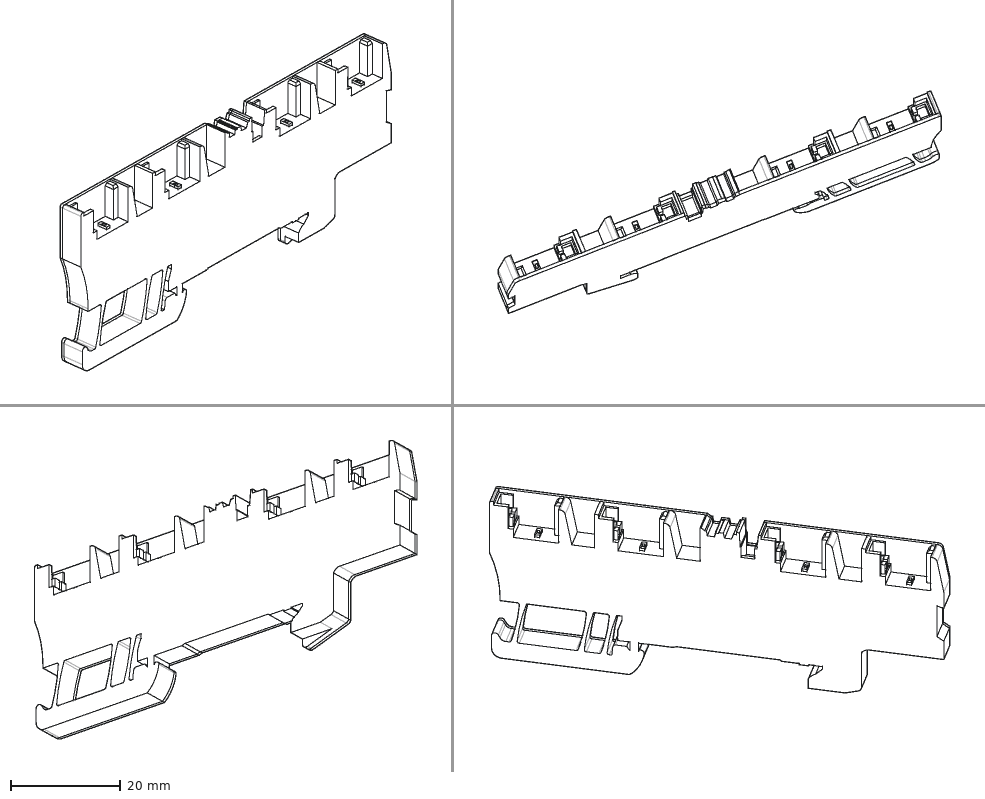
import cadquery as cq

THICKNESS = 5.1
LENGTH = 85.4
HEIGHT = 34.05
Y_BACK = LENGTH / 2
Y_FRONT = -LENGTH / 2

COVER_THICKNESS = 0.64

SIDE_NOTCH_Y = 41.4
SIDE_NOTCH_TOP = 23.6
SIDE_NOTCH_TOP_LIP = 23.25
SIDE_NOTCH_BOTTOM = 16.9
SIDE_NOTCH_BOTTOM_LIP = 16.1
SHOULDER_UNDERSIDE = 12.05
FRONT_FOOT_Y = -40.7
FRONT_CURVE_TOP = 22.8
FRONT_CURVE_BOTTOM = 13.1
FRONT_CORNER_RADIUS = 0.5

BODY_UNDERSIDE = 7.15
MIDDLE_UNDERSIDE = 7.4
FOOT_SEAT = 5.3
FOOT_WEB_TOP = 3.8
LEG_ROOF = 12.55
LEG_TOP_BACKS = (-18.8, -23.1, -35.7)
LEG_TOP_WIDTH = 1.35
LEG_BOTTOM_WIDTH = 1.2
LEG_LEAN = 1.8
LEG_BOW = 0.27
LEG_FILLET = 0.4
POST_BACK = -14.7
POST_FRONT = -16.3
HOOK_TIP_Y = 17.2
HOOK_TIP_TOP = 4.0
WEDGE_BACK = 19.9
WEDGE_FRONT = 18.6
WEDGE_TOP = 6.6
RAIL_PAD_Y = (15.5, 17.3)
RAIL_PAD_BOTTOM = 6.9
HOOK_NOTCH_BACK = 20.6
HOOK_TRIM_X = 1.7
HOOK_TRIM_Z = 2.0
HOOK_BACK = 27.2

SLOT_BACK = 7.15
SLOT_FRONT = 4.6
SLOT_FLOOR = 28.75
SLOT_STEP = 31.0
LABEL_POCKET_X = (0.9, 4.4)
LABEL_POCKET_DEPTH = 2.0
GROOVE_FLOOR = 32.5
TOOTH_TOP = 33.55
TOOTH_STEP_Y = 0.4
TOOTH_STEP_FRONT = -0.2
TOOTH_STEP_DROP = 0.2
MIDDLE_BLOCK_FRONT = -3.1

STATION_PITCH = 19.7
BACK_PAIR_FACE = 40.2
FRONT_PAIR_FACE = -10.0
STATION_FACES = (
    BACK_PAIR_FACE,
    BACK_PAIR_FACE - STATION_PITCH,
    FRONT_PAIR_FACE,
    FRONT_PAIR_FACE - STATION_PITCH,
)
WELL_DEPTH = 7.3
WELL_FLOOR = HEIGHT - WELL_DEPTH
LEDGE_START = 8.5
BLOCK_START = 9.5
WALL_START = 12.2
WALL_END = 12.95
LEDGE_LEVEL = HEIGHT - 5.5
BLOCK_LEVEL = HEIGHT - 0.8

RIDGE_FOOT = Y_BACK - STATION_FACES[0]
RIDGE_CREST = 1.1
RIDGE_RADIUS = 1.0

STUB_WIDTH = 2.0
STUB_LENGTH = 1.3
STUB_TOP = HEIGHT - 0.4
STUB_CHAMFER = 0.45

PUSHER_X = (1.9, 4.05)
PUSHER_START = 3.8
PUSHER_LENGTH = 0.95
PUSHER_HOLE_DEPTH = 2.0
PUSHER_RISE = 0.5
PUSHER_SLOT_LENGTH = 0.8
PUSHER_SLOT_WIDTH = 0.45
PUSHER_SLOT_DEPTH = 0.4

SLEEVE_X = (1.1, 4.3)
SLEEVE_START = 8.75
SLEEVE_END = 11.75
SLEEVE_HEIGHT = 2.0
SLEEVE_WALL = 0.35
SLEEVE_BACK_WALL = 0.8
SLEEVE_GAP_X = (2.45, 3.1)


def box(x_range, y_range, z_range):
    """Axis-aligned box from three (low, high) pairs."""
    size = [high - low for low, high in (x_range, y_range, z_range)]
    low_corner = (x_range[0], y_range[0], z_range[0])
    return cq.Workplane("XY").box(*size, centered=False).translate(low_corner)


def side_plate(points, x_start, x_end):
    """Straight-sided outline in the YZ plane, extruded along X."""
    return cq.Workplane("YZ", origin=(x_start, 0, 0)).polyline(points).close().extrude(x_end - x_start)


def body_outline(x_start, x_end):
    """Main body with its fixed rail hook, label slot and grooves."""
    outline = (
        cq.Workplane("YZ", origin=(x_start, 0, 0))
        .moveTo(STATION_FACES[0], HEIGHT)
        .lineTo(STATION_FACES[0] + RIDGE_CREST, HEIGHT)
        .lineTo(Y_BACK, WELL_FLOOR)
        .lineTo(Y_BACK, SIDE_NOTCH_TOP_LIP)
        .lineTo(SIDE_NOTCH_Y, SIDE_NOTCH_TOP)
        .lineTo(SIDE_NOTCH_Y, SIDE_NOTCH_BOTTOM)
        .lineTo(Y_BACK, SIDE_NOTCH_BOTTOM_LIP)
        .lineTo(Y_BACK, SHOULDER_UNDERSIDE)
        .lineTo(28.6, SHOULDER_UNDERSIDE)
        .threePointArc((27.7, 11.75), (HOOK_BACK, 11.1))
        .lineTo(HOOK_BACK, 3.4)
        .threePointArc((27.0, 3.05), (26.6, 2.8))
        .lineTo(18.4, 0.15)
        .threePointArc((17.6, 0.25), (HOOK_TIP_Y, 0.9))
        .lineTo(HOOK_TIP_Y, HOOK_TIP_TOP)
        .threePointArc((17.7, 4.7), (WEDGE_FRONT, FOOT_SEAT))
        .lineTo(HOOK_NOTCH_BACK, FOOT_SEAT)
        .lineTo(HOOK_NOTCH_BACK, BODY_UNDERSIDE)
        .lineTo(12.2, BODY_UNDERSIDE)
        .lineTo(11.9, MIDDLE_UNDERSIDE)
        .lineTo(-7.5, MIDDLE_UNDERSIDE)
        .lineTo(-8.2, BODY_UNDERSIDE)
        .lineTo(-18.6, BODY_UNDERSIDE)
        .lineTo(-18.6, 9.3)
        .threePointArc((-18.2, 10.5), (-17.8, 11.6))
        .lineTo(-17.8, LEG_ROOF)
        .lineTo(FRONT_FOOT_Y, LEG_ROOF)
        .lineTo(FRONT_FOOT_Y, FRONT_CURVE_BOTTOM)
        .tangentArcPoint((Y_FRONT, FRONT_CURVE_TOP), relative=False)
        .lineTo(Y_FRONT, HEIGHT)
        .lineTo(-2.9, HEIGHT)
        .lineTo(-2.2, TOOTH_TOP)
        .lineTo(-1.9, TOOTH_TOP)
        .lineTo(-1.75, GROOVE_FLOOR)
        .lineTo(-0.4, GROOVE_FLOOR)
        .lineTo(TOOTH_STEP_FRONT, TOOTH_TOP)
        .lineTo(1.25, TOOTH_TOP)
        .lineTo(1.5, GROOVE_FLOOR)
        .lineTo(2.8, GROOVE_FLOOR)
        .lineTo(3.2, TOOTH_TOP)
        .lineTo(3.7, TOOTH_TOP)
        .lineTo(3.7, HEIGHT)
        .lineTo(4.3, HEIGHT)
        .lineTo(4.4, SLOT_STEP)
        .lineTo(SLOT_FRONT, SLOT_STEP)
        .lineTo(SLOT_FRONT, SLOT_FLOOR)
        .lineTo(SLOT_BACK, SLOT_FLOOR)
        .lineTo(SLOT_BACK, SLOT_STEP)
        .lineTo(7.55, SLOT_STEP)
        .lineTo(7.85, HEIGHT)
        .close()
        .extrude(x_end - x_start)
    )
    crest_y = STATION_FACES[0] + RIDGE_CREST
    outline = fillet_along_x(outline, (Y_FRONT, HEIGHT), FRONT_CORNER_RADIUS)
    return fillet_along_x(outline, (crest_y, HEIGHT), RIDGE_RADIUS)


def fillet_along_x(solid, corner, radius):
    """Round the edge that runs along X through the (Y, Z) corner."""
    reach = 0.05
    y, z = corner
    selector = cq.selectors.BoxSelector(
        (-1, y - reach, z - reach), (THICKNESS + 1, y + reach, z + reach)
    )
    return solid.edges(selector).fillet(radius)


def foot_outline(x_start, x_end):
    """Sprung rail foot below the front half of the body."""
    return (
        cq.Workplane("YZ", origin=(x_start, 0, 0))
        .moveTo(-16.3, 0)
        .threePointArc((-14.5, 2.2), (-13.6, 5.0))
        .threePointArc((-13.8, 5.5), (-14.5, 5.65))
        .lineTo(POST_BACK, FOOT_SEAT)
        .lineTo(POST_FRONT, FOOT_SEAT)
        .lineTo(-16.9, 6.1)
        .lineTo(-19.0, 6.1)
        .threePointArc((-19.35, 5.9), (-19.5, 5.6))
        .lineTo(-19.7, FOOT_WEB_TOP)
        .lineTo(-39.6, FOOT_WEB_TOP)
        .threePointArc((-40.2, 3.95), (-40.7, 4.5))
        .lineTo(-41.0, 5.0)
        .threePointArc((-41.7, 5.4), (-42.3, 4.7))
        .lineTo(-42.3, 2.0)
        .threePointArc((-41.75, 0.6), (-40.4, 0))
        .close()
        .extrude(x_end - x_start)
    )


def leg_edges(top_back):
    """Y of the four leg corners: top back, bottom back, bottom front, top front."""
    bottom_back = top_back - LEG_LEAN
    return top_back, bottom_back, bottom_back - LEG_BOTTOM_WIDTH, top_back - LEG_TOP_WIDTH


def spring_leg(top_back, x_start, x_end):
    """Leaning leg that is waisted at mid height."""
    top_back, bottom_back, bottom_front, top_front = leg_edges(top_back)
    middle = (LEG_ROOF + FOOT_WEB_TOP) / 2
    return (
        cq.Workplane("YZ", origin=(x_start, 0, 0))
        .moveTo(top_back, LEG_ROOF)
        .threePointArc(((top_back + bottom_back) / 2 - LEG_BOW, middle), (bottom_back, FOOT_WEB_TOP))
        .lineTo(bottom_front, FOOT_WEB_TOP)
        .threePointArc(((top_front + bottom_front) / 2 + LEG_BOW, middle), (top_front, LEG_ROOF))
        .close()
        .extrude(x_end - x_start)
    )


def side_profile(x_start, x_end):
    """Body, foot and legs as one profile between two X positions."""
    profile = body_outline(x_start, x_end).union(foot_outline(x_start, x_end))
    for top_back in LEG_TOP_BACKS:
        profile = profile.union(spring_leg(top_back, x_start, x_end))
    for leg_top in LEG_TOP_BACKS:
        top_back, bottom_back, bottom_front, top_front = leg_edges(leg_top)
        for y in (top_back, top_front):
            profile = fillet_along_x(profile, (y, LEG_ROOF), LEG_FILLET)
        for y in (bottom_back, bottom_front):
            profile = fillet_along_x(profile, (y, FOOT_WEB_TOP), LEG_FILLET)
    return profile


def station_well(face):
    """Open well between a ridge and the end wall of its station, with ledge and block left standing."""
    above = HEIGHT + 1
    return side_plate(
        [
            (face, above),
            (face, WELL_FLOOR),
            (face - LEDGE_START, WELL_FLOOR),
            (face - LEDGE_START, LEDGE_LEVEL),
            (face - BLOCK_START, LEDGE_LEVEL),
            (face - BLOCK_START, BLOCK_LEVEL),
            (face - WALL_START, BLOCK_LEVEL),
            (face - WALL_START, above),
        ],
        COVER_THICKNESS,
        THICKNESS,
    )


def station_gap(wall_front, face):
    """Open gap from the wall behind it to the sloped back of the next ridge."""
    return side_plate(
        [
            (wall_front, HEIGHT),
            (wall_front, WELL_FLOOR),
            (face + RIDGE_FOOT, WELL_FLOOR),
            (face + RIDGE_CREST, HEIGHT),
        ],
        COVER_THICKNESS,
        THICKNESS,
    )


def ridge_stub(face):
    """Stub in the corner of ridge and cover, sloped on its two free top edges."""
    stub = box(
        (COVER_THICKNESS, COVER_THICKNESS + STUB_WIDTH),
        (face - STUB_LENGTH, face),
        (WELL_FLOOR, STUB_TOP),
    )
    free_face_edges = stub.faces(">Z").edges(">X or <Y")
    return free_face_edges.chamfer(STUB_CHAMFER)


def pusher_block(face, bottom, top):
    return box(PUSHER_X, (face - PUSHER_START - PUSHER_LENGTH, face - PUSHER_START), (bottom, top))


def pusher(face):
    """Small release pusher with a screwdriver slot in its top."""
    bottom = WELL_FLOOR - PUSHER_HOLE_DEPTH
    top = WELL_FLOOR + PUSHER_RISE
    middle_x = sum(PUSHER_X) / 2
    middle_y = face - PUSHER_START - PUSHER_LENGTH / 2
    slot = box(
        (middle_x - PUSHER_SLOT_LENGTH / 2, middle_x + PUSHER_SLOT_LENGTH / 2),
        (middle_y - PUSHER_SLOT_WIDTH / 2, middle_y + PUSHER_SLOT_WIDTH / 2),
        (top - PUSHER_SLOT_DEPTH, top),
    )
    return pusher_block(face, bottom, top).cut(slot)


def sleeve(face):
    """Thin-walled wire sleeve, its thick back wall split by a gap."""
    bottom = LEDGE_LEVEL
    top = LEDGE_LEVEL + SLEEVE_HEIGHT
    back = face - SLEEVE_START
    front = face - SLEEVE_END
    outside = box(SLEEVE_X, (front, back), (bottom, top))
    bore = box(
        (SLEEVE_X[0] + SLEEVE_WALL, SLEEVE_X[1] - SLEEVE_WALL),
        (front + SLEEVE_WALL, back - SLEEVE_BACK_WALL),
        (bottom, top),
    )
    gap = box(SLEEVE_GAP_X, (back - SLEEVE_BACK_WALL, back), (bottom, top))
    return outside.cut(bore).cut(gap)


def sleeve_bay(face):
    """Bay in the block that takes the sleeve and is open towards the well."""
    return box(SLEEVE_X, (face - SLEEVE_END, face - BLOCK_START), (LEDGE_LEVEL, HEIGHT))


def rail_fillers():
    """Post between body and foot, wedge that fills the hook notch, and thin pad beside the hook."""
    post = box((COVER_THICKNESS, THICKNESS), (POST_FRONT, POST_BACK), (FOOT_SEAT, BODY_UNDERSIDE))
    wedge = side_plate(
        [
            (HOOK_NOTCH_BACK, BODY_UNDERSIDE),
            (HOOK_NOTCH_BACK, FOOT_SEAT),
            (WEDGE_FRONT, FOOT_SEAT),
            (WEDGE_BACK, WEDGE_TOP),
            (WEDGE_BACK, BODY_UNDERSIDE),
        ],
        COVER_THICKNESS,
        THICKNESS,
    )
    rail_pad = box((COVER_THICKNESS, THICKNESS), RAIL_PAD_Y, (RAIL_PAD_BOTTOM, BODY_UNDERSIDE))
    return post.union(wedge).union(rail_pad)


def make_housing():
    housing = side_profile(COVER_THICKNESS, THICKNESS)
    housing = housing.union(rail_fillers())
    housing = housing.cut(box((HOOK_TRIM_X, THICKNESS), (HOOK_TIP_Y, HOOK_BACK), (0, HOOK_TRIM_Z)))

    gap_walls = (
        STATION_FACES[0] - WALL_END,
        MIDDLE_BLOCK_FRONT,
        STATION_FACES[2] - WALL_END,
    )
    for wall_front, face in zip(gap_walls, STATION_FACES[1:]):
        housing = housing.cut(station_gap(wall_front, face))
        housing = fillet_along_x(housing, (face + RIDGE_CREST, HEIGHT), RIDGE_RADIUS)

    for face in STATION_FACES:
        housing = housing.cut(station_well(face))
        housing = housing.union(ridge_stub(face))
        housing = housing.cut(sleeve_bay(face))
        housing = housing.cut(pusher_block(face, WELL_FLOOR - PUSHER_HOLE_DEPTH, WELL_FLOOR))

    label_pocket = box(LABEL_POCKET_X, (SLOT_FRONT, SLOT_BACK), (SLOT_FLOOR - LABEL_POCKET_DEPTH, SLOT_FLOOR))
    tooth_step = box(
        (COVER_THICKNESS, THICKNESS),
        (TOOTH_STEP_FRONT, TOOTH_STEP_Y),
        (TOOTH_TOP - TOOTH_STEP_DROP, TOOTH_TOP),
    )
    return housing.cut(label_pocket).cut(tooth_step)


cover = side_profile(0, COVER_THICKNESS)
housing = make_housing()
pushers = [pusher(face) for face in STATION_FACES]
sleeves = [sleeve(face) for face in STATION_FACES]

result = cq.Compound.makeCompound(
    [cover.val(), housing.val()]
    + [body.val() for body in pushers]
    + [body.val() for body in sleeves]
)